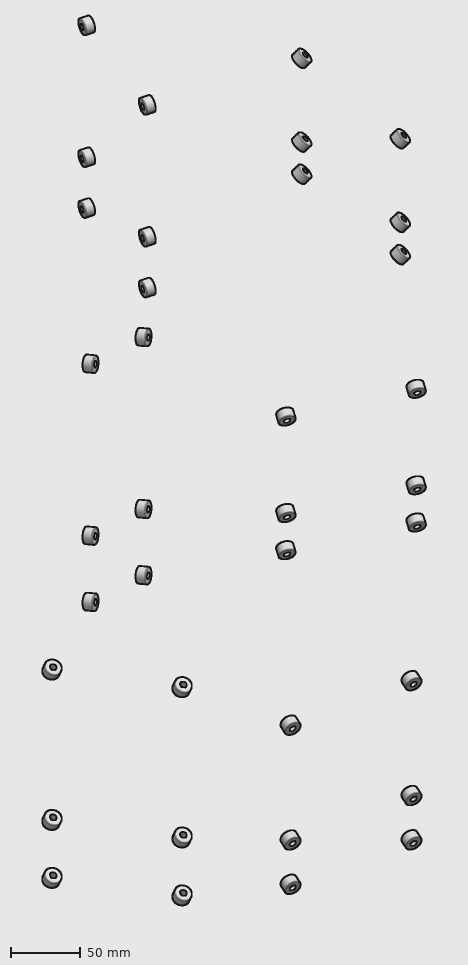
import cadquery as cq

roller_diameter = 13.0
bore_diameter = 5.0
roller_length = 7.5
edge_fillet = 0.5

overall_width = 110.0
overall_height = 189.0
column_spacing = overall_width - roller_diameter
top_row_height = overall_height - roller_diameter
middle_row_height = 49.0
column_positions = [-column_spacing / 2, column_spacing / 2]
row_heights = [0, middle_row_height, top_row_height]


def make_roller(x, z):
    """Bored roller with its axis along Y, centred on y = 0, with rounded outer rims."""
    base = cq.Workplane("XZ", origin=(x, roller_length / 2, z))
    body = base.circle(roller_diameter / 2).extrude(roller_length)
    rounded = body.edges("%CIRCLE").fillet(edge_fillet)
    return rounded.faces("<Y").workplane(origin=(x, 0, z)).hole(bore_diameter)


rollers = [make_roller(x, z) for x in column_positions for z in row_heights]

result = cq.Compound.makeCompound([roller.val() for roller in rollers])